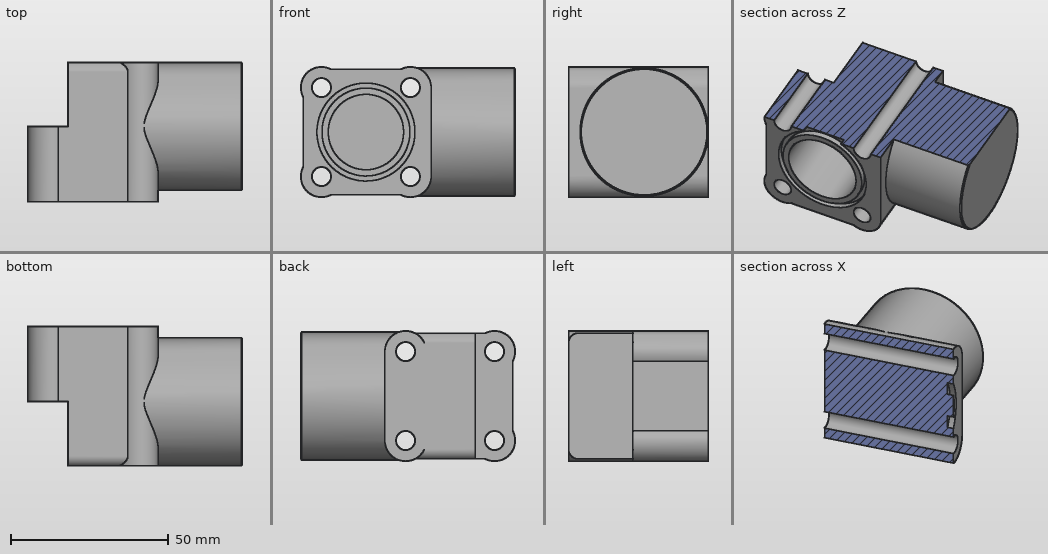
import cadquery as cq

bolt_circle_radius = 20.0
bolt_offset = bolt_circle_radius / 2**0.5
boss_radius = 6.6
bolt_hole_diameter = 6.0
body_half = 20.0
face_y = -24.0
notch_x = -8.0
body_round = 3.0

pipe_radius = 20.4
pipe_end_x = 47.5
pipe_chamfer = 0.4

bore_diameter = 24.0
groove_inner_diameter = 28.0
groove_outer_diameter = 31.2
groove_depth = 2.0
bore_depth = 20.0

back_y = pipe_radius
body_right_x = bolt_offset + boss_radius


def box(x_min, x_max, y_min, y_max, z_half):
    """Block between the given X and Y limits, symmetric about Z = 0."""
    corner = (x_min, y_min, -z_half)
    return cq.Workplane("XY").box(x_max - x_min, y_max - y_min, 2 * z_half, centered=False).translate(corner)


def cylinder_y(x, z, diameter, y_start, length):
    """Cylinder along +Y from y_start."""
    base = cq.Workplane("XZ", origin=(x, y_start, z))
    return base.circle(diameter / 2).extrude(-length)


def make_body():
    """L-shaped block: wide behind the flange face, narrow at the back with rounded rear edges."""
    front = box(-bolt_offset, bolt_offset, face_y, 0, body_half)
    front_side = box(-body_half, notch_x, face_y, 0, bolt_offset)
    rear = box(notch_x, bolt_offset, face_y, back_y, body_half)
    rear = rear.edges("|X and >Y").fillet(body_round)
    side = box(bolt_offset, body_right_x, face_y, back_y, bolt_offset)
    return front.union(front_side).union(rear).union(side)


def make_bosses():
    """Corner columns; the left pair stops at the notch, the right pair runs to the back."""
    bosses = cq.Workplane("XY")
    for z in (-bolt_offset, bolt_offset):
        for x, end_y in ((-bolt_offset, 0), (bolt_offset, back_y)):
            bosses = bosses.union(cylinder_y(x, z, 2 * boss_radius, face_y, end_y - face_y))
    return bosses


def make_pipe():
    """Solid pipe stub along +X with a chamfered end, starting between the right-hand bosses."""
    base = cq.Workplane("YZ", origin=(bolt_offset, 0, 0))
    pipe = base.circle(pipe_radius).extrude(pipe_end_x - bolt_offset)
    return pipe.faces(">X").chamfer(pipe_chamfer)


def cut_bolt_holes(part):
    """Four bolt holes right through along Y."""
    for x in (-bolt_offset, bolt_offset):
        for z in (-bolt_offset, bolt_offset):
            part = part.cut(cylinder_y(x, z, bolt_hole_diameter, face_y, back_y - face_y))
    return part


def cut_bore(part):
    """Flat-bottomed bore from the flange face, ringed by a seal groove."""
    bore = cylinder_y(0, 0, bore_diameter, face_y, bore_depth)
    groove = cylinder_y(0, 0, groove_outer_diameter, face_y, groove_depth)
    groove = groove.cut(cylinder_y(0, 0, groove_inner_diameter, face_y, groove_depth))
    return part.cut(bore).cut(groove)


result = make_body().union(make_bosses()).union(make_pipe())
result = cut_bolt_holes(result)
result = cut_bore(result)